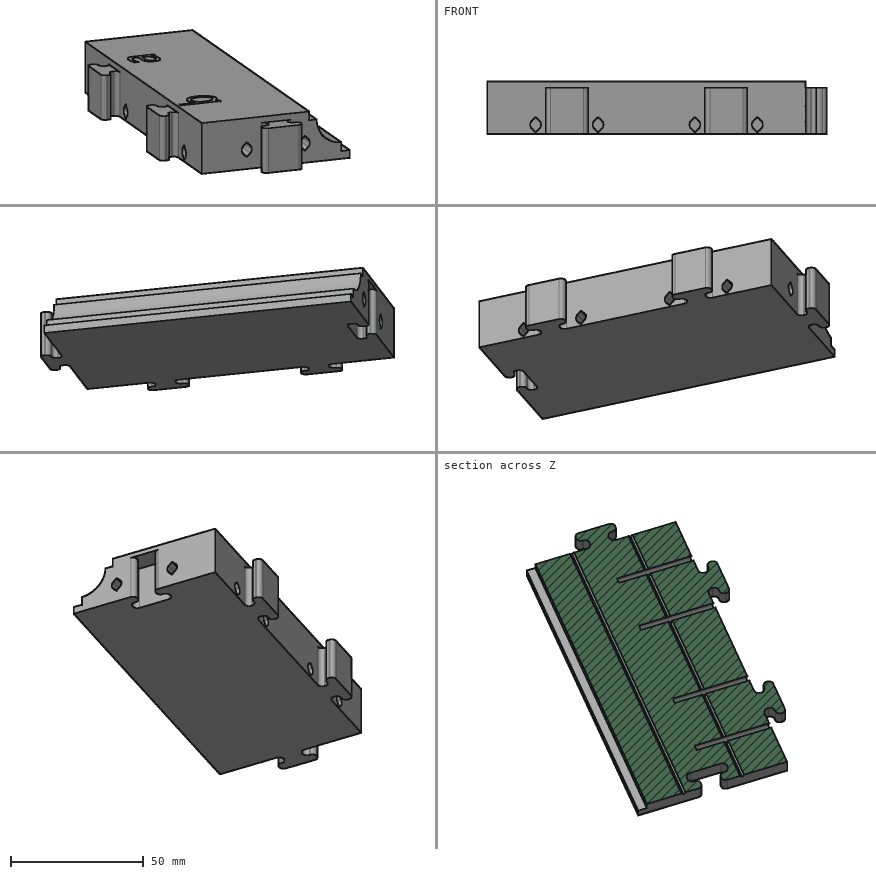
import cadquery as cq
import math


LENGTH = 120.0
DEPTH = 60.0
HEIGHT = 20.0

COVE_RADIUS = 10.0
FOOT_HEIGHT = 3.1
FOOT_DEPTH = 3.5
COVE_BOTTOM = 6.5
BROW_DEPTH = 3.1

CLIP_THICKNESS = 4.0
CLIP_RADIUS = 1.8
CLIP_NECK_WIDTH = 7.9
CLIP_HEAD_WIDTH = 16.0
CLIP_HEIGHT = 17.5
SOCKET_HEIGHT = 17.9
CLIP_XS = (LENGTH / 4, LENGTH * 3 / 4)
CLIP_Y = DEPTH / 2

HOLE_RADIUS = 2.0
HOLE_OFFSET = 11.8
FRONT_HOLE_Z = 3.6
FRONT_HOLE_DEPTH = DEPTH / 2
SIDE_HOLE_Z = 7.7

INLAY_THICKNESS = 1.0
LETTER_BASELINE_Y = 17.8
STROKE = 1.5
BOLD_STROKE = 1.9
LETTER_HALF_WIDTH = 4.6
LETTER_A_SHIFT = 0.3
B_BOWL_SHIFT = 0.3
LETTER_HEIGHT = 11.6
ASCENDER_HEIGHT = 16.2


def block_body():
    """Bar whose end profile has the stepped cove, extruded along X."""
    foot_y = DEPTH - FOOT_DEPTH
    cove_top_y = foot_y - COVE_RADIUS
    cove_top_z = COVE_BOTTOM + COVE_RADIUS
    arc_middle = COVE_RADIUS * math.sqrt(0.5)
    return (
        cq.Workplane("YZ")
        .lineTo(DEPTH, 0)
        .lineTo(DEPTH, FOOT_HEIGHT)
        .lineTo(foot_y, FOOT_HEIGHT)
        .lineTo(foot_y, COVE_BOTTOM)
        .threePointArc((foot_y - arc_middle, cove_top_z - arc_middle), (cove_top_y, cove_top_z))
        .lineTo(cove_top_y - BROW_DEPTH, cove_top_z)
        .lineTo(cove_top_y - BROW_DEPTH, HEIGHT)
        .lineTo(0, HEIGHT)
        .close()
        .extrude(LENGTH)
    )


def clip_shape(height):
    """T-shaped clip pointing along -Y from the origin, with hollow rounds on its neck."""
    thickness = CLIP_THICKNESS
    neck_x = CLIP_NECK_WIDTH / 2
    head_x = CLIP_HEAD_WIDTH / 2
    neck_outer = neck_x + CLIP_RADIUS
    head_flat = head_x - CLIP_RADIUS
    bulge = CLIP_RADIUS * (1 - math.sqrt(0.5))
    half = (
        cq.Workplane("XY")
        .lineTo(neck_outer, 0)
        .threePointArc((neck_x + bulge, -bulge), (neck_x, -CLIP_RADIUS))
        .lineTo(neck_x, CLIP_RADIUS - thickness)
        .threePointArc((neck_x + bulge, bulge - thickness), (neck_outer, -thickness))
        .lineTo(head_flat, -thickness)
        .threePointArc((head_x - bulge, -thickness - bulge), (head_x, -thickness - CLIP_RADIUS))
        .lineTo(head_x, CLIP_RADIUS - 2 * thickness)
        .threePointArc((head_x - bulge, bulge - 2 * thickness), (head_flat, -2 * thickness))
        .lineTo(0, -2 * thickness)
        .close()
        .extrude(height)
    )
    return half.union(half.mirror("YZ"))


def turn_to_side(shape, x):
    """Turn a front clip to point along +X from the middle of a side face."""
    return shape.rotate((0, 0, 0), (0, 0, 1), 90).translate((x, CLIP_Y, 0))


def pin_holes(plane, centers, length):
    """Round holes, each with a 45 degree point at its top and at its bottom."""
    tangent = HOLE_RADIUS * math.sqrt(0.5)
    tip = HOLE_RADIUS * math.sqrt(2)
    holes = cq.Workplane(plane)
    for x, z in centers:
        holes = (
            holes.moveTo(x - tangent, z - tangent)
            .lineTo(x, z - tip)
            .lineTo(x + tangent, z - tangent)
            .threePointArc((x + HOLE_RADIUS, z), (x + tangent, z + tangent))
            .lineTo(x, z + tip)
            .lineTo(x - tangent, z + tangent)
            .threePointArc((x - HOLE_RADIUS, z), (x - tangent, z - tangent))
            .close()
        )
    return holes.extrude(length)


def make_letter_a():
    """Upright letter "a" centred in X, its baseline along X."""
    right = LETTER_HALF_WIDTH
    left = -LETTER_HALF_WIDTH
    stem_left = right - BOLD_STROKE

    shoulder_y = 8.0
    hook_top_x = 0.6
    hook_end_x = -3.1
    hook_end_y = 10.7
    hook_slope = 0.4
    stem = (
        cq.Workplane("XY")
        .moveTo(stem_left, 0)
        .lineTo(right, 0)
        .lineTo(right, shoulder_y)
        .spline(
            [(hook_top_x, LETTER_HEIGHT), (hook_end_x, hook_end_y)],
            tangents=[(0, 1), (-1, -hook_slope)],
            includeCurrent=True,
        )
        .lineTo(hook_end_x, hook_end_y - STROKE)
        .spline(
            [(hook_top_x, LETTER_HEIGHT - STROKE), (stem_left, shoulder_y)],
            tangents=[(1, hook_slope), (0, -1)],
            includeCurrent=True,
        )
        .close()
        .extrude(INLAY_THICKNESS)
    )

    bowl_top = 7.0
    bowl_middle = bowl_top / 2
    bowl_x = left + bowl_middle
    bowl_bend = (1.2, 0.5)
    bowl = (
        cq.Workplane("XY")
        .moveTo(stem_left, bowl_top)
        .lineTo(bowl_x, bowl_top)
        .threePointArc((left, bowl_middle), (bowl_x, 0))
        .threePointArc(bowl_bend, (stem_left, BOLD_STROKE))
        .close()
        .extrude(INLAY_THICKNESS)
    )
    counter_top = bowl_top - STROKE
    counter_left = left + STROKE
    counter_bend = (1.8, 2.5)
    counter = (
        cq.Workplane("XY")
        .moveTo(stem_left, counter_top)
        .lineTo(bowl_x, counter_top)
        .threePointArc((counter_left, bowl_middle), (bowl_x, STROKE))
        .threePointArc(counter_bend, (stem_left, counter_top))
        .close()
        .extrude(INLAY_THICKNESS)
    )
    return bowl.cut(counter).union(stem)


def make_letter_b():
    """Upright letter "b" on a baseline along X, its stem at the left."""
    bowl_half_width = LETTER_HALF_WIDTH + B_BOWL_SHIFT
    half_height = LETTER_HEIGHT / 2
    bowl = (
        cq.Workplane("XY")
        .center(B_BOWL_SHIFT, half_height)
        .ellipse(bowl_half_width, half_height)
        .ellipse(bowl_half_width - BOLD_STROKE, half_height - STROKE)
        .extrude(INLAY_THICKNESS)
    )
    stem = (
        cq.Workplane("XY")
        .box(STROKE, ASCENDER_HEIGHT, INLAY_THICKNESS, centered=False)
        .translate((-LETTER_HALF_WIDTH, 0, 0))
    )
    return bowl.union(stem)


def inlay(letter, x):
    """Turn an upright letter to read from the back and set it flush in the top face."""
    turned = letter.rotate((0, 0, 0), (0, 0, 1), 180)
    return turned.translate((x, LETTER_BASELINE_Y, HEIGHT - INLAY_THICKNESS))


letter_a = inlay(make_letter_a(), CLIP_XS[0] + LETTER_A_SHIFT)
letter_b = inlay(make_letter_b(), CLIP_XS[1])

clip = clip_shape(CLIP_HEIGHT)
block = block_body()
for clip_x in CLIP_XS:
    block = block.union(clip.translate((clip_x, 0, 0)))
block = block.union(turn_to_side(clip, LENGTH))
block = block.cut(turn_to_side(clip_shape(SOCKET_HEIGHT), 0))

front_holes = [(x + side * HOLE_OFFSET, FRONT_HOLE_Z) for x in CLIP_XS for side in (-1, 1)]
side_holes = [(CLIP_Y + side * HOLE_OFFSET, SIDE_HOLE_Z) for side in (-1, 1)]
block = block.cut(pin_holes("XZ", front_holes, -FRONT_HOLE_DEPTH))
block = block.cut(pin_holes("YZ", side_holes, LENGTH))
block = block.cut(letter_a).cut(letter_b)

result = cq.Compound.makeCompound([block.val(), letter_a.val(), letter_b.val()])